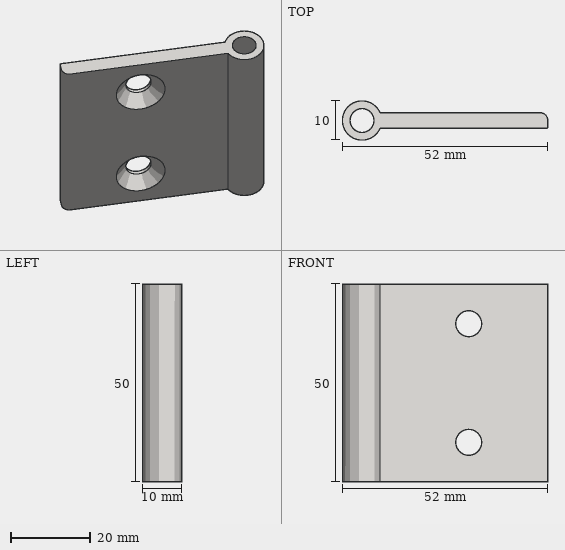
import cadquery as cq

length = 52.0
height = 50.0

knuckle_diameter = 10.0
pin_diameter = 6.0
knuckle_radius = knuckle_diameter / 2

leaf_thickness = 4.0
half_thickness = leaf_thickness / 2
free_edge_x = length - knuckle_radius
back_edge_radius = 2.0
front_edge_radius = 0.3

screw_diameter = 6.5
screw_spacing = 30.0
screw_x = 27.0
screw_radius = screw_diameter / 2

straight_depth = 1.0
countersink_radius = screw_radius + leaf_thickness - straight_depth


def make_leaf():
    leaf = cq.Workplane("XY").box(
        free_edge_x, leaf_thickness, height, centered=(False, True, False)
    )
    leaf = leaf.edges("|Z and >X and >Y").fillet(back_edge_radius)
    return leaf.edges("|Z and >X and <Y").fillet(front_edge_radius)


def make_screw_hole(center_z):
    """One screw hole: straight at the front face, then a cone opening to the back face."""
    profile = [
        (0, -half_thickness),
        (screw_radius, -half_thickness),
        (screw_radius, -half_thickness + straight_depth),
        (countersink_radius, half_thickness),
        (0, half_thickness),
    ]
    hole = cq.Workplane("XY").polyline(profile).close().revolve(360, (0, 0), (0, 1))
    return hole.translate((screw_x, 0, center_z))


knuckle = cq.Workplane("XY").circle(knuckle_radius).extrude(height)
pin_bore = cq.Workplane("XY").circle(pin_diameter / 2).extrude(height)

result = knuckle.union(make_leaf()).cut(pin_bore)
for side in (-1, 1):
    result = result.cut(make_screw_hole(height / 2 + side * screw_spacing / 2))